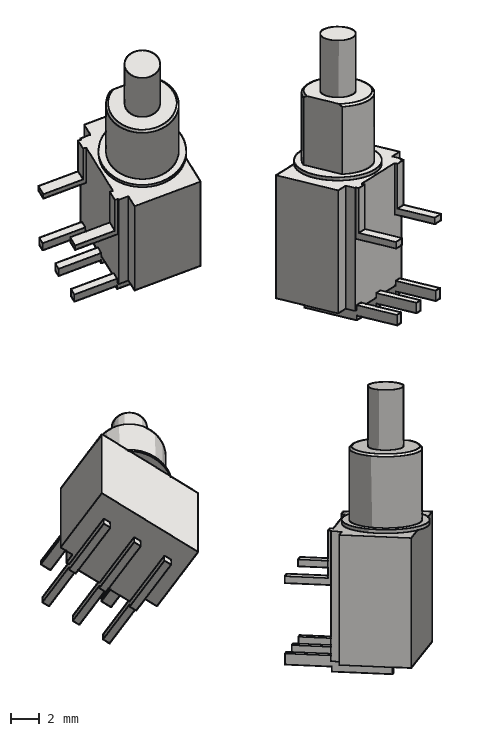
import cadquery as cq


body_width = 8.1
body_half_depth = 2.55
body_height = 9.3
front_pad_width = 6.1
front_pad_depth = 0.75
front_y = -body_half_depth - front_pad_depth

washer_diameter = front_pad_width
washer_thickness = 0.25
bushing_diameter = 5.07
bushing_height = 5.25
bushing_chamfer = 0.15
flat_offset = 1.99
plunger_diameter = 2.49
plunger_height = 4.3

lead_pitch = 2.55
overall_depth = 9.65
lead_tip_y = washer_diameter / 2 - overall_depth
leg_width = 0.82
leg_face_thickness = 0.24
leg_foot_thickness = 0.5
leg_drop = 3.88
terminal_width = 0.55
terminal_back_y = 1.0
terminal_drop = 0.8
pin_height = 0.8
pin_drop = 0.44


def box_between(x_center, width, y_start, y_end, z_start, z_end):
    """Box centred on x_center that spans the given Y and Z ranges."""
    return (
        cq.Workplane("XY")
        .box(width, y_end - y_start, z_end - z_start, centered=False)
        .translate((x_center - width / 2, y_start, z_start))
    )


def make_body():
    """Rectangular housing with a narrower full-height pad on its front."""
    housing = box_between(0, body_width, -body_half_depth, body_half_depth, 0, body_height)
    pad = box_between(0, front_pad_width, front_y, 0, 0, body_height)
    return housing.union(pad)


def make_actuator():
    """Washer, chamfered bushing with one flat at -X, and plunger."""
    washer_top = body_height + washer_thickness
    bushing_top = washer_top + bushing_height
    washer = (
        cq.Workplane("XY", origin=(0, 0, body_height))
        .circle(washer_diameter / 2)
        .extrude(washer_thickness)
    )
    bushing = (
        cq.Workplane("XY", origin=(0, 0, washer_top))
        .circle(bushing_diameter / 2)
        .extrude(bushing_height)
        .faces(">Z")
        .chamfer(bushing_chamfer)
    )
    flat_cutter = box_between(
        -flat_offset - bushing_diameter / 2,
        bushing_diameter,
        -bushing_diameter,
        bushing_diameter,
        washer_top,
        bushing_top,
    )
    plunger = (
        cq.Workplane("XY", origin=(0, 0, bushing_top))
        .circle(plunger_diameter / 2)
        .extrude(plunger_height)
    )
    return washer.union(bushing.cut(flat_cutter)).union(plunger)


def make_leg(x_center):
    """L-shaped support leg: a strip down the front pad, then a foot pointing forward."""
    foot_bottom = body_height - leg_drop
    foot_top = foot_bottom + leg_foot_thickness
    strip_front_y = front_y - leg_face_thickness
    strip = box_between(x_center, leg_width, strip_front_y, front_y, foot_bottom, body_height)
    foot = box_between(x_center, leg_width, lead_tip_y, front_y, foot_bottom, foot_top)
    return strip.union(foot)


def make_terminal(x_center):
    """Blade under the body with a pin pointing forward."""
    blade = box_between(x_center, terminal_width, front_y, terminal_back_y, -terminal_drop, 0)
    pin = box_between(x_center, terminal_width, lead_tip_y, front_y, -pin_drop, pin_height - pin_drop)
    return blade.union(pin)


result = make_body().union(make_actuator())
for x in (-lead_pitch, lead_pitch):
    result = result.union(make_leg(x))
for x in (-lead_pitch, 0, lead_pitch):
    result = result.union(make_terminal(x))